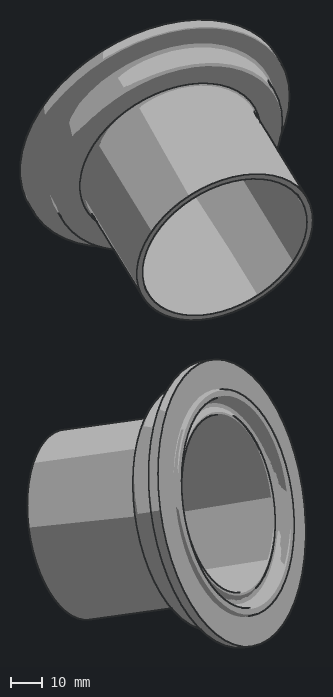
import cadquery as cq
import math

total_length = 58.5
tube_radius = 60.3 / 2
bore_radius = 56.3 / 2

lip_radius = 71.9 / 2
lip_height = 1.6
lip_edge_fillet = 0.55
lip_root_fillet = 0.3

flange_radius = 91 / 2
flange_back = 4.7
flange_edge_fillet = 0.6
slope_angle = 20

collar_radius = 78.0 / 2
collar_back = 15.5
collar_edge_fillet = 1.7
collar_root_fillet = 2.1

weld_fillet = 1.6
weld_angle = 60

groove_outer_radius = 33.4
groove_floor_radius = 31.1
groove_inner_radius = 29.6
groove_floor_depth = 4.4
groove_edge_fillet = 0.55
groove_inner_slope = 60
rim_depth = 3.1
rim_fillet = 0.8
bore_edge_fillet = 0.4


def on_circle(center, radius, angle):
    """Point on a circle, with the angle in degrees from +X toward larger radii."""
    turn = math.radians(angle)
    return (center[0] + radius * math.cos(turn), center[1] + radius * math.sin(turn))


def add_arc(outline, center, radius, start_angle, end_angle):
    """Run the outline straight to the start of an arc, then along the arc."""
    middle_angle = (start_angle + end_angle) / 2
    return outline.lineTo(*on_circle(center, radius, start_angle)).threePointArc(
        on_circle(center, radius, middle_angle),
        on_circle(center, radius, end_angle),
    )


def add_outside(outline):
    """Outer contour from the front of the lip to the back end of the tube."""
    lip_edge = (lip_edge_fillet, lip_radius - lip_edge_fillet)
    outline = add_arc(outline, lip_edge, lip_edge_fillet, 180, 90)
    lip_root = (lip_height - lip_root_fillet, lip_radius + lip_root_fillet)
    outline = add_arc(outline, lip_root, lip_root_fillet, 270, 360)

    outline = outline.lineTo(lip_height, flange_radius)
    flange_edge = (flange_back, flange_radius - flange_edge_fillet)
    outline = add_arc(outline, flange_edge, flange_edge_fillet, 90, slope_angle)

    slope_start = on_circle(flange_edge, flange_edge_fillet, slope_angle)
    root_center_radius = collar_radius + collar_root_fillet
    root_offset = collar_root_fillet * math.sin(math.radians(slope_angle))
    slope_end_radius = root_center_radius - root_offset
    slope_end = slope_start[0] + (slope_start[1] - slope_end_radius) * math.tan(math.radians(slope_angle))
    root_center_x = slope_end + collar_root_fillet * math.cos(math.radians(slope_angle))
    collar_root = (root_center_x, root_center_radius)
    outline = add_arc(outline, collar_root, collar_root_fillet, 180 + slope_angle, 270)

    collar_edge = (collar_back - collar_edge_fillet, collar_radius - collar_edge_fillet)
    outline = add_arc(outline, collar_edge, collar_edge_fillet, 90, 0)

    weld_length = weld_fillet * math.sin(math.radians(weld_angle))
    weld = (collar_back + weld_length, tube_radius + weld_fillet)
    outline = add_arc(outline, weld, weld_fillet, 270 - weld_angle, 270)
    return outline.lineTo(total_length, tube_radius)


def add_inside(outline):
    """Bore, rim of the bore and groove, from the back end to the front of the lip."""
    outline = outline.lineTo(total_length, bore_radius)
    bore_edge = (rim_depth + bore_edge_fillet, bore_radius + bore_edge_fillet)
    outline = add_arc(outline, bore_edge, bore_edge_fillet, 270, 180)

    slope = math.radians(groove_inner_slope)
    rim_edge = (rim_depth + rim_fillet, groove_inner_radius - rim_fillet * math.sin(slope))
    outline = add_arc(outline, rim_edge, rim_fillet, 180, 180 - groove_inner_slope)

    outline = outline.spline(
        [(groove_floor_depth, groove_floor_radius), (groove_edge_fillet, groove_outer_radius)],
        tangents=[(math.sin(slope), math.cos(slope)), (-1, 0)],
        includeCurrent=True,
    )
    groove_edge = (groove_edge_fillet, groove_outer_radius + groove_edge_fillet)
    return outline.threePointArc(
        on_circle(groove_edge, groove_edge_fillet, 225),
        on_circle(groove_edge, groove_edge_fillet, 180),
    )


lip_front = cq.Workplane("XY").moveTo(0, groove_outer_radius + groove_edge_fillet)
profile = add_inside(add_outside(lip_front)).close()
result = profile.revolve(360, (0, 0, 0), (1, 0, 0))